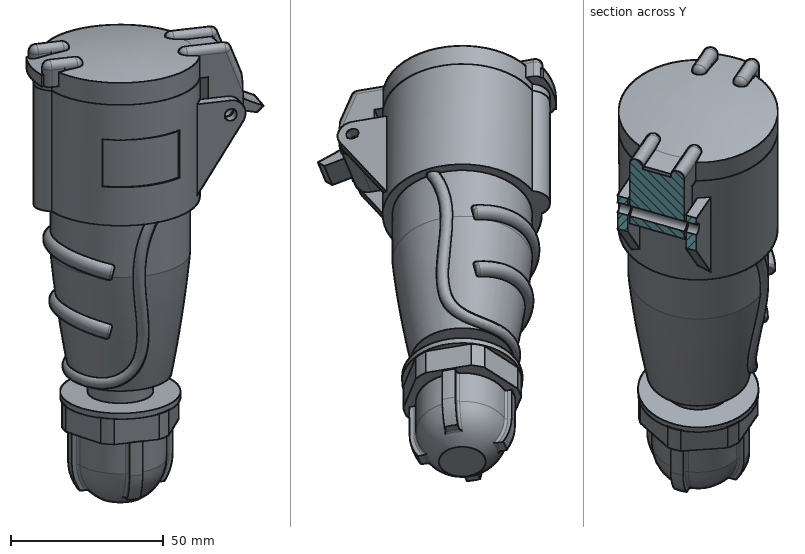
import cadquery as cq
import math


barrel_radius = 52.3 / 2
housing_bottom = 104.8
lid_bottom = 147.4
lid_edge_top = 155.2
lid_crown_top = 157.5
total_height = 158.8

key_radius = 6.5
key_reach = 29.5

recess_depth = 0.55
recess_half_angle = 30.5
recess_bottom = 118.3
recess_top = 135.0

pivot_y = 33.5
pivot_z = 135.0
pivot_hole_radius = 2.0
ear_radius = 5.1
ear_outer_x = 28.5 / 2
ear_inner_x = 10.3
ear_foot_y = 21.6
ear_foot_z = 107.4
ear_root_y = 15.9

arm_half_width = 9.8
arm_top = 155.5
arm_bend_y = 33.2
arm_back_y = 39.0
arm_back_top_z = 140.3
arm_front_y = 27.2
arm_radius = arm_back_y - pivot_y
thumb_half_width = 5.1
thumb_root_y = 37.5
thumb_root_top_z = 138.2
thumb_root_bottom_z = 133.1
thumb_kink_y = 42.0
thumb_kink_z = 135.8
thumb_tip_y = 47.7
thumb_tip_top_z = 133.1
thumb_tip_bottom_y = 45.5
thumb_tip_bottom_z = 131.0

rod_radius = 5.0 / 2
rod_x = arm_half_width - rod_radius
rear_rod_start_y = 20.0
front_rod_inner_y = -17.8
front_rod_outer_y = -26.7
front_leg_root_y = -22.2
front_rod_axis_z = total_height - rod_radius

catch_reach = 30.8
catch_half_width = 8.4
catch_bottom = 150.3

handle_bottom = 42.9
handle_taper_top = 85.5
handle_middle_z = 60.4
handle_top_radius = 45.9 / 2
handle_middle_radius = 19.9
handle_bottom_radius = 16.8

grip_radius = 2.9
grip_inset = 0.5
grip_end_fillet = 1.0
grip_end_y = -8.9
grip_rise = 3.3
upper_grip_end_z = 86.9
lower_grip_end_z = 65.1
loop_radius = 2.0
loop_inset = 0.3
loop_bottom_z = 45.3
loop_corner_radius = 14.0
loop_corner_y = -12.7
loop_side = [(4.5, housing_bottom + 0.8), (1.0, 97.7), (-0.6, 88.2), (0.5, 73.0)]
loop_corner_angles = (0, 30, 60, 90)
loop_front_angles = (22, 0, -22)

stem_radius = 10.8
flange_top = 36.2

flange_radius = 39.5 / 2
flange_bottom = 34.2
hex_bottom = 25.1
hex_flats = 35.9
hex_corner_radius = 19.5
dome_center_z = 13.2
dome_radius = 15.2
nut_rib_radius = 17.5
nut_rib_width = 4.5
nut_rib_bottom = 3.7
nut_rib_count = 4
nut_rib_fillet = 1.0

tolerance = 0.02


def cylinder(radius, bottom, top):
    return cq.Workplane("XY").workplane(offset=bottom).circle(radius).extrude(top - bottom)


def block(x0, x1, y0, y1, z0, z1):
    return cq.Workplane("XY").box(x1 - x0, y1 - y0, z1 - z0, centered=False).translate((x0, y0, z0))


def ball(radius, center):
    return cq.Workplane("XY").sphere(radius).translate(center)


def rod(radius, start, end):
    axis = cq.Vector(*end) - cq.Vector(*start)
    return cq.Workplane(cq.Solid.makeCylinder(radius, axis.Length, cq.Vector(*start), axis))


def side_plate(outline, x0, x1):
    """Plate between x0 and x1 from a closed YZ outline."""
    return outline.extrude(x1 - x0).translate((x0, 0, 0))


def key_bump(bottom, top):
    return cylinder(key_radius, bottom, top).translate((0, key_radius - key_reach, 0))


def hinge_ear(x0, x1):
    foot_y, foot_z = ear_foot_y - pivot_y, ear_foot_z - pivot_z
    tangent_angle = math.atan2(foot_z, foot_y) + math.acos(ear_radius / math.hypot(foot_y, foot_z))

    def on_round(angle):
        return (pivot_y + ear_radius * math.cos(angle), pivot_z + ear_radius * math.sin(angle))

    outline = (
        cq.Workplane("YZ").moveTo(ear_root_y, ear_foot_z).lineTo(ear_foot_y, ear_foot_z)
        .lineTo(*on_round(tangent_angle))
        .threePointArc(on_round((tangent_angle + math.pi / 2) / 2), on_round(math.pi / 2))
        .lineTo(ear_root_y, pivot_z + ear_radius).close()
    )
    return side_plate(outline, x0, x1)


def pivot_hole():
    return rod(pivot_hole_radius, (-ear_outer_x, pivot_y, pivot_z), (ear_outer_x, pivot_y, pivot_z))


def label_recess():
    far = 2 * barrel_radius
    half_span = far * math.tan(math.radians(recess_half_angle))
    wedge = (
        cq.Workplane("XY").workplane(offset=recess_bottom)
        .polyline([(0, 0), (far, -half_span), (far, half_span)]).close()
        .extrude(recess_top - recess_bottom)
    )
    return wedge.cut(cylinder(barrel_radius - recess_depth, recess_bottom, recess_top))


def make_housing():
    body = cylinder(barrel_radius, housing_bottom, lid_bottom)
    body = body.union(key_bump(housing_bottom, lid_bottom))
    for x0 in (-ear_outer_x, ear_inner_x):
        body = body.union(hinge_ear(x0, x0 + ear_outer_x - ear_inner_x))
    return body.cut(pivot_hole()).cut(label_recess())


def crown_ball():
    sag = lid_crown_top - lid_edge_top
    crown_radius = (barrel_radius**2 + sag**2) / (2 * sag)
    return ball(crown_radius, (0, 0, lid_crown_top - crown_radius))


def lid_cover():
    cover = cylinder(barrel_radius, lid_bottom, total_height)
    catch = cylinder(catch_reach, catch_bottom, total_height).intersect(
        block(-catch_half_width, catch_half_width, -catch_reach, 0, catch_bottom, total_height)
    )
    return cover.union(catch).intersect(crown_ball()).union(key_bump(lid_bottom, catch_bottom))


def arm_half_plate():
    low = pivot_z - arm_radius
    diagonal = arm_radius * math.sqrt(0.5)
    outline = (
        cq.Workplane("YZ").moveTo(0, lid_bottom).lineTo(0, lid_edge_top)
        .lineTo(rear_rod_start_y, arm_top).lineTo(arm_bend_y, arm_top)
        .lineTo(arm_back_y, arm_back_top_z).lineTo(arm_back_y, pivot_z)
        .threePointArc((pivot_y + diagonal, pivot_z - diagonal), (pivot_y, low))
        .lineTo(arm_front_y, low).lineTo(arm_front_y, lid_bottom).close()
    )
    return side_plate(outline, 0, arm_half_width)


def thumb_tab():
    outline = (
        cq.Workplane("YZ").moveTo(thumb_root_y, thumb_root_top_z)
        .lineTo(thumb_kink_y, thumb_kink_z)
        .lineTo(thumb_tip_y, thumb_tip_top_z)
        .lineTo(thumb_tip_bottom_y, thumb_tip_bottom_z)
        .lineTo(thumb_root_y, thumb_root_bottom_z).close()
    )
    return side_plate(outline, -thumb_half_width, thumb_half_width)


def rear_rod(x):
    start = (x, rear_rod_start_y, arm_top)
    bend = (x, arm_bend_y, arm_top)
    slope = (arm_back_top_z - arm_top) / (arm_back_y - arm_bend_y)
    past = arm_back_y + rod_radius
    end = (x, past, arm_top + slope * (past - arm_bend_y))
    bar = ball(rod_radius, start).union(rod(rod_radius, start, bend))
    bar = bar.union(ball(rod_radius, bend)).union(rod(rod_radius, bend, end))
    behind_arm = block(
        x - 2 * rod_radius, x + 2 * rod_radius, arm_back_y, 2 * arm_back_y, housing_bottom, total_height
    )
    return bar.cut(behind_arm)


def lid_arm():
    half = arm_half_plate().union(rear_rod(rod_x), clean=False)
    return half.union(half.mirror("YZ"), clean=False)


def front_rod(x):
    inner = (x, front_rod_inner_y, front_rod_axis_z)
    outer = (x, front_rod_outer_y, front_rod_axis_z)
    bar = ball(rod_radius, inner).union(rod(rod_radius, inner, outer))
    leg = (
        cq.Workplane("XY").workplane(offset=catch_bottom).moveTo(x - rod_radius, front_leg_root_y)
        .lineTo(x - rod_radius, front_rod_outer_y)
        .threePointArc((x, front_rod_outer_y - rod_radius), (x + rod_radius, front_rod_outer_y))
        .lineTo(x + rod_radius, front_leg_root_y).close()
        .extrude(front_rod_axis_z - catch_bottom)
    )
    return bar.union(ball(rod_radius, outer)).union(leg)


def make_lid():
    lid = lid_cover().union(lid_arm(), clean=False).union(thumb_tab(), clean=False)
    for x in (-rod_x, rod_x):
        lid = lid.union(front_rod(x), clean=False)
    return lid.cut(pivot_hole())


def handle_taper():
    """Radius and Z of the ends and the middle of the curved taper, from the bottom up."""
    return [
        (handle_bottom_radius, handle_bottom),
        (handle_middle_radius, handle_middle_z),
        (handle_top_radius, handle_taper_top),
    ]


def handle_radius_at(z):
    """Handle radius at height z: along the taper, the circle through its three points."""
    if z > handle_taper_top:
        return handle_top_radius
    (r1, z1), (r2, z2), (r3, z3) = handle_taper()
    a1, b1, c1 = r2 - r1, z2 - z1, (r2**2 - r1**2 + z2**2 - z1**2) / 2
    a2, b2, c2 = r3 - r1, z3 - z1, (r3**2 - r1**2 + z3**2 - z1**2) / 2
    determinant = a1 * b2 - a2 * b1
    center_r = (c1 * b2 - c2 * b1) / determinant
    center_z = (a1 * c2 - a2 * c1) / determinant
    arc_radius = math.hypot(r1 - center_r, z1 - center_z)
    return center_r + math.sqrt(arc_radius**2 - (z - center_z) ** 2)


def handle_core():
    bottom, middle, top = handle_taper()
    return (
        cq.Workplane("XZ").moveTo(0, handle_bottom).lineTo(*bottom).threePointArc(middle, top)
        .lineTo(handle_top_radius, housing_bottom).lineTo(0, housing_bottom).close()
        .revolve(360, (0, 0), (0, 1))
    )


def on_handle(y, z, inset):
    """Point on the +X half of the handle, at a depth of inset below the surface."""
    return (math.sqrt((handle_radius_at(z) - inset) ** 2 - y**2), y, z)


def mirrored(point):
    return (-point[0], point[1], point[2])


def sweep_round(radius, path):
    start = cq.Plane(origin=path.startPoint().toTuple(), normal=path.tangentAt(0).toTuple())
    return cq.Workplane(start).circle(radius).sweep(cq.Workplane(path))


def grip_rib(end_z):
    end = on_handle(grip_end_y, end_z, grip_inset)
    crest_z = end_z + grip_rise
    crest = (0, grip_inset - handle_radius_at(crest_z), crest_z)
    arc = [cq.Vector(*point) for point in (mirrored(end), crest, end)]
    bar = sweep_round(grip_radius, cq.Edge.makeThreePointArc(*arc))
    return bar.faces("%PLANE").edges().fillet(grip_end_fillet)


def loop_rib():
    side = list(loop_side)
    corner_z = loop_bottom_z + loop_corner_radius
    for degrees in loop_corner_angles:
        angle = math.radians(degrees)
        y = loop_corner_y + loop_corner_radius * math.cos(angle)
        side.append((y, corner_z - loop_corner_radius * math.sin(angle)))
    side = [on_handle(y, z, loop_inset) for y, z in side]
    front_radius = handle_radius_at(loop_bottom_z) - loop_inset
    front = []
    for degrees in loop_front_angles:
        angle = math.radians(degrees)
        front.append((front_radius * math.sin(angle), -front_radius * math.cos(angle), loop_bottom_z))
    points = side + front + [mirrored(point) for point in reversed(side)]
    bar = sweep_round(loop_radius, cq.Edge.makeSpline([cq.Vector(*point) for point in points]))
    return bar.cut(cylinder(2 * barrel_radius, housing_bottom, total_height))


def make_handle():
    handle = handle_core().union(loop_rib())
    for end_z in (upper_grip_end_z, lower_grip_end_z):
        handle = handle.union(grip_rib(end_z))
    return handle


def make_stem():
    return cylinder(stem_radius, flange_top, handle_bottom)


def domed_post(radius):
    """Cylinder up to the hexagon, ending below in a half ball."""
    return cylinder(radius, dome_center_z, hex_bottom).union(ball(radius, (0, 0, dome_center_z)))


def hexagon():
    corners = hex_flats / math.cos(math.pi / 6)
    prism = (
        cq.Workplane("XY").workplane(offset=hex_bottom).transformed(rotate=(0, 0, 90))
        .polygon(6, corners).extrude(flange_bottom - hex_bottom)
    )
    return prism.intersect(cylinder(hex_corner_radius, hex_bottom, flange_bottom))


def nut_rib(angle):
    half = nut_rib_width / 2
    slab = block(0, nut_rib_radius, -half, half, nut_rib_bottom, hex_bottom)
    return domed_post(nut_rib_radius).intersect(slab).rotate((0, 0, 0), (0, 0, 1), angle)


def is_rib_root(edge):
    """True for edges where a rib or its lower end meets the dome surface."""
    point = edge.positionAt(0.5)
    depth = min(point.z - dome_center_z, 0)
    on_dome = abs(math.hypot(point.x, point.y, depth) - dome_radius) < tolerance
    at_dome_top = abs(point.z - dome_center_z) < tolerance
    in_rib_height = nut_rib_bottom - tolerance < point.z < hex_bottom - tolerance
    return on_dome and not at_dome_top and in_rib_height


def make_gland_nut():
    cap = domed_post(dome_radius).intersect(cylinder(flange_radius, 0, hex_bottom))
    for i in range(nut_rib_count):
        cap = cap.union(nut_rib(360 / nut_rib_count * i))
    roots = [edge for edge in cap.edges().vals() if is_rib_root(edge)]
    cap = cap.newObject(roots).fillet(nut_rib_fillet)
    return cap.union(hexagon()).union(cylinder(flange_radius, flange_bottom, flange_top))


housing = make_housing()
lid = make_lid()
handle = make_handle()
stem = make_stem()
gland_nut = make_gland_nut()

bodies = [housing, lid, handle, stem, gland_nut]
result = cq.Compound.makeCompound([body.solids().val() for body in bodies])